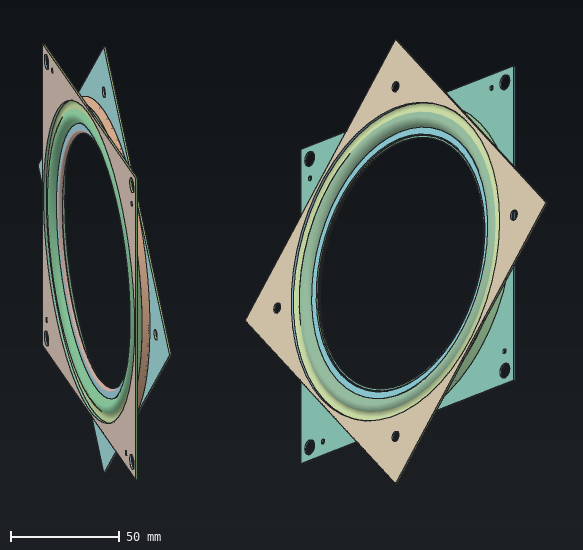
import cadquery as cq
import math


plate_diagonal = 217.8
plate_side = plate_diagonal / math.sqrt(2)
total_depth = 8.0
sheet = 1.0
half_depth = total_depth / 2

race_radius = 68.2
race_outer = half_depth
race_inner = race_outer - sheet
groove_mouth_radius = 75.4
mouth_wall = 1.3
cone_top_radius = 76.5
cone_foot_radius = 73.8
web_inner_radius = 61.0
hem_inner = sheet / 2
hem_outer = hem_inner + sheet

corner_hole_diameter = 7.0
corner_hole_offset = 70.5
pilot_hole_diameter = 2.2
pilot_hole_position = (-61.0, 70.3)
back_hole_diameter = 4.8
back_hole_radius = 85.5


def pressed_ring():
    """Revolved race, groove and web; the section is (radius, y) with y = 0 at the mid-plane."""
    wall_foot_y = -race_outer + mouth_wall
    gap_r = groove_mouth_radius - race_radius
    slope = math.sqrt(0.5)
    groove_bend = (gap_r**2 + wall_foot_y**2 - race_outer**2) / (
        2 * (slope * (gap_r + wall_foot_y) + race_outer)
    )
    bend_center = (groove_mouth_radius - slope * groove_bend, wall_foot_y - slope * groove_bend)
    race_angle = math.atan2(bend_center[1], bend_center[0] - race_radius)
    bend_bottom = (bend_center[0], bend_center[1] + groove_bend)
    crossing = (
        race_radius + race_outer * math.cos(race_angle),
        race_outer * math.sin(race_angle),
    )
    race_foot = (race_radius - math.sqrt(race_outer**2 - sheet**2), -sheet)

    section = (
        cq.Workplane("XY")
        .moveTo(web_inner_radius, -sheet)
        .lineTo(*race_foot)
        .threePointArc((race_radius, -race_outer), crossing)
        .threePointArc(bend_bottom, (groove_mouth_radius, wall_foot_y))
        .lineTo(groove_mouth_radius, -race_outer)
        .lineTo(cone_top_radius, -race_outer)
        .lineTo(cone_top_radius, -race_inner)
        .lineTo(cone_foot_radius, 0)
        .lineTo(race_radius + race_inner, 0)
        .threePointArc((race_radius, -race_inner), (race_radius - race_inner, 0))
        .lineTo(web_inner_radius, 0)
        .close()
    )
    return section.revolve(360, (0, 0, 0), (0, 1, 0))


def pressed_plate():
    """Square plate on the -Y side with the pressed ring in its middle."""
    flat = (
        cq.Workplane("XZ", origin=(0, -half_depth, 0))
        .rect(plate_side, plate_side)
        .circle(groove_mouth_radius)
        .extrude(-sheet)
    )
    return flat.union(pressed_ring())


def round_holes(points, diameter):
    """Drills along Y, long enough to pass through either plate."""
    return cq.Workplane("XZ").pushPoints(points).circle(diameter / 2).extrude(total_depth, both=True)


def hem():
    """Quarter-round lip that bends the front web back through the opening of the back web."""
    center_y = hem_inner
    middle = math.sqrt(0.5)
    section = (
        cq.Workplane("XY")
        .moveTo(web_inner_radius, center_y - hem_outer)
        .threePointArc(
            (web_inner_radius - middle * hem_outer, center_y - middle * hem_outer),
            (web_inner_radius - hem_outer, center_y),
        )
        .lineTo(web_inner_radius - hem_inner, center_y)
        .threePointArc(
            (web_inner_radius - middle * hem_inner, center_y - middle * hem_inner),
            (web_inner_radius, center_y - hem_inner),
        )
        .close()
    )
    return section.revolve(360, (0, 0, 0), (0, 1, 0))


def front_plate():
    corner_holes = [
        (sx * corner_hole_offset, sz * corner_hole_offset) for sx in (-1, 1) for sz in (-1, 1)
    ]
    px, pz = pilot_hole_position
    pilot_holes = [(px, pz), (pz, -px), (-px, -pz), (-pz, px)]
    return (
        pressed_plate()
        .union(hem())
        .cut(round_holes(corner_holes, corner_hole_diameter))
        .cut(round_holes(pilot_holes, pilot_hole_diameter))
    )


def back_plate():
    holes = [
        (back_hole_radius, 0),
        (0, back_hole_radius),
        (-back_hole_radius, 0),
        (0, -back_hole_radius),
    ]
    return (
        pressed_plate()
        .mirror("XZ")
        .rotate((0, 0, 0), (0, 1, 0), 45)
        .cut(round_holes(holes, back_hole_diameter))
    )


front = front_plate()
back = back_plate()

result = cq.Compound.makeCompound([front.val(), back.val()])